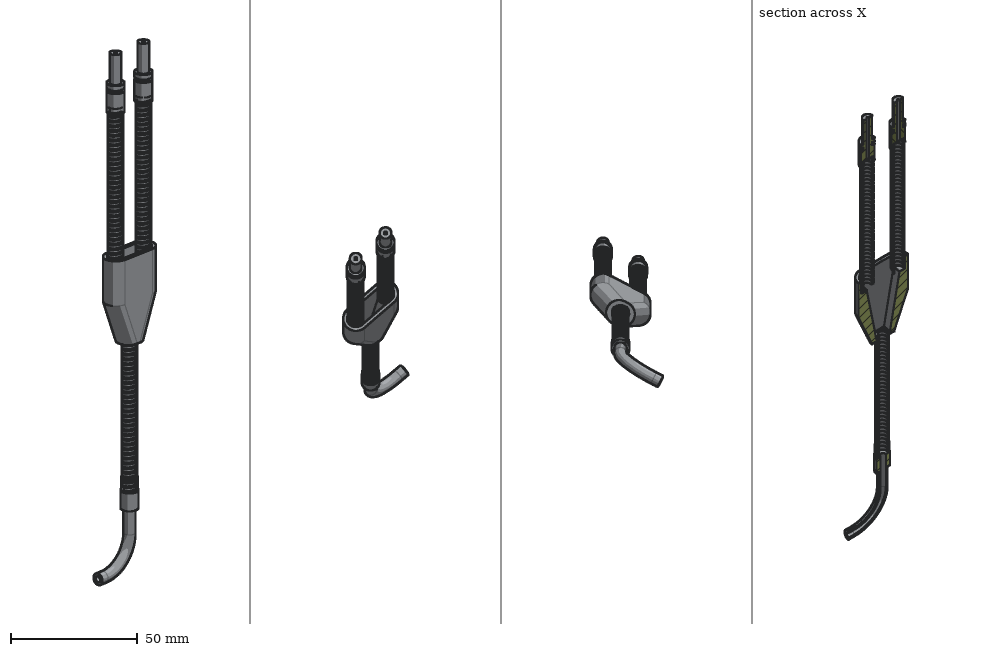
import cadquery as cq
import math

TOTAL_HEIGHT = 224.9
BRANCH_OFFSET = 7.9

HOUSING_WIDTH = 10.1
HOUSING_LENGTH = 25.6
HOUSING_FOOT_LENGTH = 11.5
HOUSING_BOTTOM_Z = 99.6
HOUSING_SHOULDER_Z = 118.5
HOUSING_TOP_Z = 137.6
HOUSING_WALL = 1.5
HOUSING_OUTLET_RADIUS = 3.4
POCKET_DEPTH = 6.7
CHAMBER_TOP_LENGTH = 16.6

HOSE_RADIUS = 3.1
HOSE_BORE_RADIUS = 2.0
COIL_PITCH = 2.0
STRIP_HEIGHT = 1.93
TAPER_HEIGHT = 0.7
TAPER_DEPTH = 0.2
TRUNK_HOSE_TURNS = 32
BRANCH_HOSE_TURNS = 34

SLEEVE_RADIUS = 3.5
STRAIGHT_STEM_DIAMETER = 4.7
STRAIGHT_BORE_RADIUS = 0.56
SLEEVE_BOTTOM_Z = 200.0
HOSE_SOCKET_DEPTH = 2.2
SLEEVE_TOP_Z = 208.7
FLANGE_BOTTOM_Z = 210.0
FLANGE_TOP_Z = 212.0

BENT_STEM_RADIUS = 2.5
BENT_BORE_RADIUS = 1.24
BEND_RADIUS = 14.6
BENT_TIP_REACH = 17.8
BENT_SLEEVE_BOTTOM_Z = 27.7
BENT_SLEEVE_TOP_Z = 35.3

COLLAR_RADIUS = 3.4
COLLAR_TOP_Z = 40.7

HOUSING_FLOOR_Z = HOUSING_BOTTOM_Z + HOUSING_WALL
LEDGE_Z = HOUSING_TOP_Z - POCKET_DEPTH
HOSE_SOCKET_TOP_Z = SLEEVE_BOTTOM_Z + HOSE_SOCKET_DEPTH


def cylinder(radius, bottom_z, top_z):
    return cq.Workplane("XY").workplane(offset=bottom_z).circle(radius).extrude(top_z - bottom_z)


def make_housing():
    """Oblong box that tapers to its foot, with an open pocket, a chamber and a round outlet."""
    upper = (
        cq.Workplane("XY")
        .workplane(offset=HOUSING_SHOULDER_Z)
        .slot2D(HOUSING_LENGTH, HOUSING_WIDTH, 90)
        .extrude(HOUSING_TOP_Z - HOUSING_SHOULDER_Z)
    )
    taper = (
        cq.Workplane("XY")
        .workplane(offset=HOUSING_BOTTOM_Z)
        .slot2D(HOUSING_FOOT_LENGTH, HOUSING_WIDTH, 90)
        .workplane(offset=HOUSING_SHOULDER_Z - HOUSING_BOTTOM_Z)
        .slot2D(HOUSING_LENGTH, HOUSING_WIDTH, 90)
        .loft(ruled=True)
    )
    pocket_width = HOUSING_WIDTH - 2 * HOUSING_WALL
    pocket_length = HOUSING_LENGTH - 2 * HOUSING_WALL
    pocket = (
        cq.Workplane("XY")
        .workplane(offset=LEDGE_Z)
        .slot2D(pocket_length, pocket_width, 90)
        .extrude(HOUSING_TOP_Z - LEDGE_Z)
    )
    chamber = (
        cq.Workplane("YZ")
        .moveTo(-HOUSING_OUTLET_RADIUS, HOUSING_FLOOR_Z)
        .lineTo(HOUSING_OUTLET_RADIUS, HOUSING_FLOOR_Z)
        .lineTo(CHAMBER_TOP_LENGTH / 2, LEDGE_Z)
        .lineTo(-CHAMBER_TOP_LENGTH / 2, LEDGE_Z)
        .close()
        .extrude(pocket_width / 2, both=True)
    )
    outlet = cylinder(HOUSING_OUTLET_RADIUS, HOUSING_BOTTOM_Z, HOUSING_FLOOR_Z)
    return upper.union(taper).cut(pocket).cut(chamber).cut(outlet)


def make_hose(bottom_z, turns):
    """Right-handed coil of a strip, wound with a narrow gap between its turns.

    The outside of the strip tapers in at its lower edge.
    """
    half_height = STRIP_HEIGHT / 2
    bottom_radius = HOSE_RADIUS - TAPER_DEPTH
    helix_height = turns * COIL_PITCH
    helix = cq.Wire.makeHelix(COIL_PITCH, helix_height, HOSE_BORE_RADIUS)
    strip = (
        cq.Workplane("XZ")
        .moveTo(HOSE_BORE_RADIUS, -half_height)
        .lineTo(bottom_radius, -half_height)
        .lineTo(HOSE_RADIUS, TAPER_HEIGHT - half_height)
        .lineTo(HOSE_RADIUS, half_height)
        .lineTo(HOSE_BORE_RADIUS, half_height)
        .close()
        .sweep(cq.Workplane("XY").newObject([helix]), isFrenet=True)
    )
    return strip.rotate((0, 0, 0), (0, 0, 1), -90).translate((0, 0, bottom_z + half_height))


def make_straight_tip(y):
    """Stem with a thin flange and a long sleeve that has a hose socket below, bored through."""
    stem = cylinder(STRAIGHT_STEM_DIAMETER / 2, SLEEVE_BOTTOM_Z, TOTAL_HEIGHT)
    sleeve = cylinder(SLEEVE_RADIUS, SLEEVE_BOTTOM_Z, SLEEVE_TOP_Z)
    flange = cylinder(SLEEVE_RADIUS, FLANGE_BOTTOM_Z, FLANGE_TOP_Z)
    bore = cylinder(STRAIGHT_BORE_RADIUS, SLEEVE_BOTTOM_Z, TOTAL_HEIGHT)
    socket = cylinder(HOSE_RADIUS, SLEEVE_BOTTOM_Z, HOSE_SOCKET_TOP_Z)
    return stem.union(sleeve).union(flange).cut(bore).cut(socket).translate((0, y, 0))


def bent_rod(radius):
    """Round rod that drops from the bent tip's sleeve and turns a quarter circle to -Y."""
    axis_z = BENT_STEM_RADIUS
    bend_start_z = axis_z + BEND_RADIUS
    diagonal = BEND_RADIUS * math.sqrt(0.5)
    path = (
        cq.Workplane("YZ")
        .moveTo(0, BENT_SLEEVE_TOP_Z)
        .lineTo(0, bend_start_z)
        .threePointArc((diagonal - BEND_RADIUS, bend_start_z - diagonal), (-BEND_RADIUS, axis_z))
        .lineTo(-BENT_TIP_REACH, axis_z)
    )
    return cq.Workplane("XY").workplane(offset=BENT_SLEEVE_TOP_Z).circle(radius).sweep(path)


def make_bent_tip():
    """Bent stem with a sleeve at its upper end, bored through."""
    sleeve = cylinder(SLEEVE_RADIUS, BENT_SLEEVE_BOTTOM_Z, BENT_SLEEVE_TOP_Z)
    return bent_rod(BENT_STEM_RADIUS).union(sleeve).cut(bent_rod(BENT_BORE_RADIUS))


def make_collar():
    """Thin ring that holds the lower end of the trunk hose."""
    ring = cylinder(COLLAR_RADIUS, BENT_SLEEVE_TOP_Z, COLLAR_TOP_Z)
    return ring.cut(cylinder(HOSE_RADIUS, BENT_SLEEVE_TOP_Z, COLLAR_TOP_Z))


housing = make_housing()
trunk_hose = make_hose(BENT_SLEEVE_TOP_Z, TRUNK_HOSE_TURNS)
bent_tip = make_bent_tip()
collar = make_collar()

branch_hose_length = BRANCH_HOSE_TURNS * COIL_PITCH + STRIP_HEIGHT
branch_hose = make_hose(HOSE_SOCKET_TOP_Z - branch_hose_length, BRANCH_HOSE_TURNS)

branch_hoses = []
straight_tips = []
for branch_y in (-BRANCH_OFFSET, BRANCH_OFFSET):
    branch_hoses.append(branch_hose.translate((0, branch_y, 0)).val())
    straight_tips.append(make_straight_tip(branch_y).val())

result = cq.Compound.makeCompound(
    [housing.val(), trunk_hose.val(), *branch_hoses, *straight_tips, bent_tip.val(), collar.val()]
)